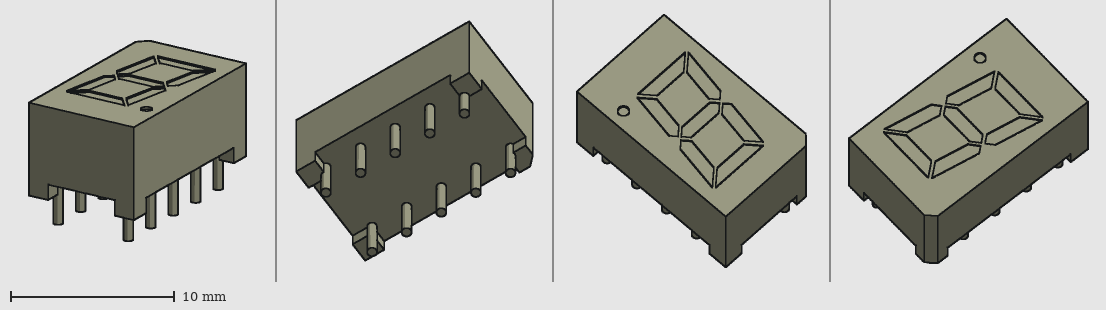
import cadquery as cq
import math

body_width = 7.62
body_length = 12.7
body_height = 6.1
foot_size = 1.4
foot_height = 1.02
corner_chamfer = 0.6

pin_diameter = 0.61
pin_pitch = 2.54
row_spacing = 5.08
pins_per_row = 5
pin_length_below_feet = 1.98
pin_offset_y = 0.08

digit_center = (-0.03, 0.45)
digit_half_width = 2.24
digit_half_height = 4.01
stroke = 0.91
joint_gap = 0.15
middle_joint_x = 1.83
slant_angle = 10.0
slant = math.tan(math.radians(slant_angle))
segment_depth = 0.1

point_center = (2.81, -3.35)
point_diameter = 0.71
point_depth = 0.15


def make_housing():
    """Block with a bevelled pin-1 edge, cut underneath to leave four corner feet."""
    housing = (
        cq.Workplane("XY")
        .box(body_width, body_length, body_height, centered=(True, True, False))
        .edges("|Z and <X and >Y")
        .chamfer(corner_chamfer)
    )
    for width, length in (
        (body_width - 2 * foot_size, body_length),
        (body_width, body_length - 2 * foot_size),
    ):
        channel = cq.Workplane("XY").box(width, length, foot_height, centered=(True, True, False))
        housing = housing.cut(channel)
    return housing


def make_pins():
    """Round pins hanging from the recessed underside."""
    return (
        cq.Workplane("XY", origin=(0, pin_offset_y, -pin_length_below_feet))
        .rarray(row_spacing, pin_pitch, 2, pins_per_row)
        .circle(pin_diameter / 2)
        .extrude(pin_length_below_feet + foot_height)
    )


def horizontal_end_segment():
    """Upright outline of the top segment."""
    outer_x = digit_half_width - joint_gap
    inner_x = outer_x - stroke
    inner_y = digit_half_height - stroke
    return [
        (-outer_x, digit_half_height),
        (outer_x, digit_half_height),
        (inner_x, inner_y),
        (-inner_x, inner_y),
    ]


def middle_segment():
    """Upright outline of the middle segment, pointed at both ends."""
    tip_x = middle_joint_x - joint_gap
    half_stroke = stroke / 2
    shoulder_x = tip_x - half_stroke
    return [
        (-tip_x, 0),
        (-shoulder_x, half_stroke),
        (shoulder_x, half_stroke),
        (tip_x, 0),
        (shoulder_x, -half_stroke),
        (-shoulder_x, -half_stroke),
    ]


def side_segment():
    """Upright outline of the upper right segment, with 45 degree ends."""
    inner_x = digit_half_width - stroke
    outer_top = digit_half_height - joint_gap
    return [
        (digit_half_width, outer_top),
        (digit_half_width, joint_gap + digit_half_width - middle_joint_x),
        (middle_joint_x, joint_gap),
        (inner_x, joint_gap + middle_joint_x - inner_x),
        (inner_x, outer_top - stroke),
    ]


def mirrored(outline, sign_x, sign_y):
    return [(sign_x * x, sign_y * y) for x, y in outline]


def slanted(outline):
    """Lean an upright outline to the right and move it to the digit's place."""
    center_x, center_y = digit_center
    return [(center_x + x + slant * y, center_y + y) for x, y in outline]


def make_recesses():
    """Shallow pockets for the seven segments and the decimal point."""
    outlines = [middle_segment()]
    for sign_y in (1, -1):
        outlines.append(mirrored(horizontal_end_segment(), 1, sign_y))
        for sign_x in (1, -1):
            outlines.append(mirrored(side_segment(), sign_x, sign_y))

    top = cq.Workplane("XY", origin=(0, 0, body_height))
    recesses = top.center(*point_center).circle(point_diameter / 2).extrude(-point_depth)
    for outline in outlines:
        recesses = recesses.add(top.polyline(slanted(outline)).close().extrude(-segment_depth))
    return recesses.combine()


result = make_housing().union(make_pins()).cut(make_recesses())